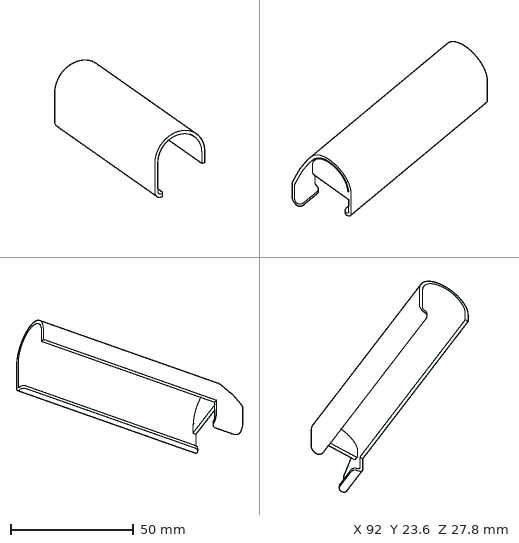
import cadquery as cq
import math

length = 92
width = 23.6
height = 27.8

wall = 1.5
outer_radius = width / 2
inner_radius = outer_radius - wall
spring_z = height - outer_radius
bend_radius = 3.0
lip_reach = 4.5
lip_corner_radius = 2.0

plate_x = 10.0
plate_gap = 0.55
plate_radius = inner_radius - plate_gap
plate_bottom_z = 10.95
plate_corner_radius = 1.2
plate_back_x = plate_x + wall

tab_back_x = 12.2
tab_front_z = 12.7
tab_corner_radius = 1.8
tab_slope_end_z = 17.5
tab_slope_end_x = tab_slope_end_z - tab_front_z
tab_top_z = 26.1


def box(x_range, y_range, z_range):
    """Box spanning the given (low, high) range along each axis."""
    sizes = [high - low for low, high in (x_range, y_range, z_range)]
    corner = (x_range[0], y_range[0], z_range[0])
    return cq.Workplane("XY").box(*sizes, centered=False).translate(corner)


def arch_profile(radius, bottom_z, start_x, depth):
    """Solid with straight sides and a half-round top, running along X."""
    return (
        cq.Workplane("YZ", origin=(start_x, 0, 0))
        .moveTo(-radius, bottom_z)
        .lineTo(-radius, spring_z)
        .threePointArc((0, spring_z + radius), (radius, spring_z))
        .lineTo(radius, bottom_z)
        .close()
        .extrude(depth)
    )


def channel():
    """Arched channel with inturned lips along its open bottom."""
    outside = arch_profile(outer_radius, 0, 0, length)
    outside = outside.edges("|X and <Z").fillet(bend_radius)
    inside = arch_profile(inner_radius, wall, 0, length)
    inside = inside.edges("|X and <Z").fillet(bend_radius - wall)
    half_mouth = outer_radius - lip_reach
    mouth = box((0, length), (-half_mouth, half_mouth), (0, wall))
    return outside.cut(inside).cut(mouth)


def tab_cutter():
    """Material to remove above the tab: sloped front, then a concave arc."""
    rise = tab_top_z - tab_slope_end_z
    run = plate_x - tab_slope_end_x
    arc_radius = (run**2 + rise**2) / (2 * run)
    half_sweep = math.asin(rise / arc_radius) / 2
    arc_middle = (
        plate_x - arc_radius * (1 - math.cos(half_sweep)),
        tab_top_z - arc_radius * math.sin(half_sweep),
    )
    tangent = tab_corner_radius * math.tan(math.pi / 8)
    slope_step = tangent * math.sqrt(0.5)
    corner_middle = (
        tab_corner_radius * (1 - math.cos(math.pi / 8)),
        tab_front_z - tangent + tab_corner_radius * math.sin(math.pi / 8),
    )
    return (
        cq.Workplane("XZ")
        .moveTo(0, height)
        .lineTo(0, tab_front_z - tangent)
        .threePointArc(corner_middle, (slope_step, tab_front_z + slope_step))
        .lineTo(tab_slope_end_x, tab_slope_end_z)
        .threePointArc(arc_middle, (plate_x, tab_top_z))
        .lineTo(plate_x, height)
        .close()
        .extrude(-outer_radius)
    )


def lip_corner_cutter(corner_x, inward_x, side):
    """Sliver outside a rounded lip corner; inward_x (+1 or -1) points along the lip."""
    edge_y = side * (outer_radius - lip_reach)
    tangent_x = corner_x + inward_x * lip_corner_radius
    tangent_y = edge_y + side * lip_corner_radius
    middle_offset = lip_corner_radius * (1 - math.sqrt(0.5))
    return (
        cq.Workplane("XY")
        .moveTo(corner_x, edge_y)
        .lineTo(tangent_x, edge_y)
        .threePointArc(
            (corner_x + inward_x * middle_offset, edge_y + side * middle_offset),
            (corner_x, tangent_y),
        )
        .close()
        .extrude(bend_radius)
    )


def end_plate():
    """Thin plate filling the arch, with a foot joining it to the -Y wall."""
    plate = arch_profile(plate_radius, plate_bottom_z, plate_x, wall)
    plate = plate.edges("|X and <Z and >Y").fillet(plate_corner_radius)
    foot = box((plate_x, plate_back_x), (-outer_radius, 0), (plate_bottom_z, spring_z))
    return plate.union(foot)


shell = channel()

shell = shell.cut(box((0, plate_x), (-outer_radius, 0), (0, height)))
shell = shell.cut(tab_cutter())

shell = shell.cut(box((tab_back_x, length), (0, outer_radius), (0, plate_bottom_z)))

for front_x, back_x, side in ((0, tab_back_x, 1), (plate_x, length, -1)):
    shell = shell.cut(lip_corner_cutter(front_x, 1, side))
    shell = shell.cut(lip_corner_cutter(back_x, -1, side))

result = shell.union(end_plate())